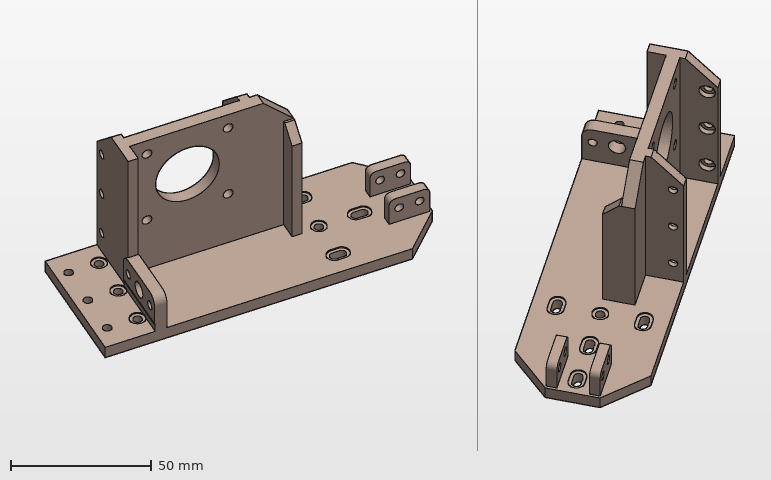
import cadquery as cq


BASE_WIDTH = 50.0
BASE_LENGTH = 136.0
BASE_THICKNESS = 5.0
BASE_CORNER_CUT = 15.0

SCREW_DIAMETER = 3.4
HEAD_DIAMETER = 6.0
BASE_HEAD_DEPTH = 0.5
SLOT_TRAVEL = 3.0
HOLE_SPACING_X = 16.0
FRONT_ROW_Y = 5.0
HEAD_ROW_Y = 17.0
REAR_ROW_Y = 96.0
REAR_SLOT_YS = (112.0, 128.9)

TOTAL_HEIGHT = 67.0
WALL_THICKNESS = 5.0
WALL_RIGHT = -6.0
WALL_LEFT = WALL_RIGHT - WALL_THICKNESS
WALL_REAR = 89.0
UPRIGHT_CORNER_CUT = 12.0
RIB_THICKNESS = 4.0
RIB_GAP = 45.5
FRONT_RIB_Y = 20.4
REAR_RIB_Y = FRONT_RIB_Y + RIB_THICKNESS + RIB_GAP
STIFFENER_RIGHT = 1.02
RIB_HOLE_INSET = 4.0
RIB_HOLE_LOWEST_Z = 13.9
RIB_HOLE_PITCH = 19.0
RIB_HOLE_COUNT = 3
RIB_HEAD_DEPTH = 2.0

FLANGE_HEIGHT = TOTAL_HEIGHT - UPRIGHT_CORNER_CUT
FLANGE_CORNER_CUT = 6.1

MOTOR_Y = FRONT_RIB_Y + RIB_THICKNESS + RIB_GAP / 2
MOTOR_Z = 44.6
MOTOR_BORE = 25.0
MOTOR_HOLE_DIAMETER = 3.8
MOTOR_HOLE_PITCH = 32.0

FRONT_LUG_WIDTH = 26.0
FRONT_LUG_HEIGHT = 15.9
FRONT_LUG_RADIUS = 4.0
FRONT_LUG_PROUD = 1.0
FRONT_LUG_FOOT_PROUD = 0.7
FRONT_LUG_FOOT_HEIGHT = 3.3
FRONT_LUG_HOLE_HEIGHT = 9.4
FRONT_LUG_BORE = 6.4
FRONT_LUG_HOLE_OFFSET = 9.0

REAR_LUG_THICKNESS = 4.0
REAR_LUG_GAP = 12.0
REAR_LUG_LENGTH = 16.0
REAR_LUG_HEIGHT = 11.4
REAR_LUG_RADIUS = 2.5
REAR_LUG_SETBACK = 1.0
REAR_LUG_HOLE_HEIGHT = 6.5
REAR_LUG_HOLE_PITCH = 8.0


def box(x_range, y_range, z_range):
    """Box given by its lower and upper limits along each axis."""
    spans = (x_range, y_range, z_range)
    size = [upper - lower for lower, upper in spans]
    corner = tuple(lower for lower, _ in spans)
    return cq.Workplane("XY").box(*size, centered=False).translate(corner)


def rod_x(diameter, x_range, y, z):
    """Cylinder along X."""
    start, end = x_range
    return cq.Workplane("YZ", origin=(start, y, z)).circle(diameter / 2).extrude(end - start)


def rod_y(diameter, y_range, x, z):
    """Cylinder along Y."""
    start, end = y_range
    return cq.Workplane("XZ", origin=(x, start, z)).circle(diameter / 2).extrude(start - end)


def base_cutter(diameter, x, y, floor_z, travel=0):
    """Round or slotted cutter from floor_z up to the top of the base."""
    sketch = cq.Workplane("XY", origin=(x, y, floor_z))
    if travel:
        sketch = sketch.slot2D(diameter + travel, diameter, 90)
    else:
        sketch = sketch.circle(diameter / 2)
    return sketch.extrude(BASE_THICKNESS - floor_z)


def headed_hole(x, y, travel=0):
    """Through hole in the base with a shallow recess for the screw head."""
    through = base_cutter(SCREW_DIAMETER, x, y, 0, travel)
    head = base_cutter(HEAD_DIAMETER, x, y, BASE_THICKNESS - BASE_HEAD_DEPTH, travel)
    return through.union(head)


def make_base():
    half_width = BASE_WIDTH / 2
    base = box((-half_width, half_width), (0, BASE_LENGTH), (0, BASE_THICKNESS))
    base = base.edges("|Z and >Y").chamfer(BASE_CORNER_CUT)
    for x in (-HOLE_SPACING_X, 0, HOLE_SPACING_X):
        base = base.cut(base_cutter(SCREW_DIAMETER, x, FRONT_ROW_Y, 0))
        base = base.cut(headed_hole(x, HEAD_ROW_Y))
    base = base.cut(headed_hole(0, REAR_ROW_Y))
    for x in (-HOLE_SPACING_X, HOLE_SPACING_X):
        base = base.cut(headed_hole(x, REAR_ROW_Y, SLOT_TRAVEL))
    for y in REAR_SLOT_YS:
        base = base.cut(headed_hole(0, y, SLOT_TRAVEL))
    return base


def make_wall():
    """Motor wall with its rear stiffening flange."""
    wall_x = (WALL_LEFT, WALL_RIGHT)
    wall = box(wall_x, (FRONT_RIB_Y, WALL_REAR), (BASE_THICKNESS, TOTAL_HEIGHT))
    wall = wall.edges("|X and >Y and >Z").chamfer(UPRIGHT_CORNER_CUT)
    flange = box(
        (WALL_RIGHT, STIFFENER_RIGHT),
        (WALL_REAR - RIB_THICKNESS, WALL_REAR),
        (BASE_THICKNESS, FLANGE_HEIGHT),
    )
    flange = flange.edges("|Y and >X and >Z").chamfer(FLANGE_CORNER_CUT)
    wall = wall.cut(rod_x(MOTOR_BORE, wall_x, MOTOR_Y, MOTOR_Z))
    half_pitch = MOTOR_HOLE_PITCH / 2
    for y in (MOTOR_Y - half_pitch, MOTOR_Y + half_pitch):
        for z in (MOTOR_Z - half_pitch, MOTOR_Z + half_pitch):
            wall = wall.cut(rod_x(MOTOR_HOLE_DIAMETER, wall_x, y, z))
    return wall.union(flange)


def make_rib(front_y, right_x, head_y_range):
    """Rib with a column of screw holes whose head recesses span head_y_range."""
    left_x = -BASE_WIDTH / 2
    y_range = (front_y, front_y + RIB_THICKNESS)
    rib = box((left_x, right_x), y_range, (BASE_THICKNESS, TOTAL_HEIGHT))
    rib = rib.edges("|Y and <X and >Z").chamfer(UPRIGHT_CORNER_CUT)
    hole_x = left_x + RIB_HOLE_INSET
    for index in range(RIB_HOLE_COUNT):
        hole_z = RIB_HOLE_LOWEST_Z + index * RIB_HOLE_PITCH
        rib = rib.cut(rod_y(SCREW_DIAMETER, y_range, hole_x, hole_z))
        rib = rib.cut(rod_y(HEAD_DIAMETER, head_y_range, hole_x, hole_z))
    return rib


def make_front_lug():
    right_x = BASE_WIDTH / 2
    x_range = (right_x - FRONT_LUG_WIDTH, right_x)
    y_range = (FRONT_RIB_Y - FRONT_LUG_PROUD, FRONT_RIB_Y + RIB_THICKNESS)
    lug = box(x_range, y_range, (BASE_THICKNESS, BASE_THICKNESS + FRONT_LUG_HEIGHT))
    lug = lug.edges("|Y and >Z").fillet(FRONT_LUG_RADIUS)
    foot_y = (y_range[0], FRONT_RIB_Y - FRONT_LUG_FOOT_PROUD)
    foot_z = (BASE_THICKNESS, BASE_THICKNESS + FRONT_LUG_FOOT_HEIGHT)
    return lug.cut(box(x_range, foot_y, foot_z))


def front_lug_holes():
    """Centre bore and two screw holes, through the lug and the rib end behind it."""
    y_range = (FRONT_RIB_Y - FRONT_LUG_PROUD, FRONT_RIB_Y + RIB_THICKNESS)
    centre_x = (BASE_WIDTH - FRONT_LUG_WIDTH) / 2
    z = BASE_THICKNESS + FRONT_LUG_HOLE_HEIGHT
    holes = rod_y(FRONT_LUG_BORE, y_range, centre_x, z)
    for side in (-1, 1):
        x = centre_x + side * FRONT_LUG_HOLE_OFFSET
        holes = holes.union(rod_y(SCREW_DIAMETER, y_range, x, z))
    return holes


def make_rear_lug(left_x):
    x_range = (left_x, left_x + REAR_LUG_THICKNESS)
    rear_y = BASE_LENGTH - REAR_LUG_SETBACK
    centre_y = rear_y - REAR_LUG_LENGTH / 2
    top_z = BASE_THICKNESS + REAR_LUG_HEIGHT
    lug = box(x_range, (rear_y - REAR_LUG_LENGTH, rear_y), (BASE_THICKNESS, top_z))
    lug = lug.edges("|X and >Z").fillet(REAR_LUG_RADIUS)
    for side in (-1, 1):
        y = centre_y + side * REAR_LUG_HOLE_PITCH / 2
        lug = lug.cut(rod_x(SCREW_DIAMETER, x_range, y, BASE_THICKNESS + REAR_LUG_HOLE_HEIGHT))
    return lug


front_rib_inner_y = FRONT_RIB_Y + RIB_THICKNESS
front_rib = make_rib(FRONT_RIB_Y, STIFFENER_RIGHT, (front_rib_inner_y - RIB_HEAD_DEPTH, front_rib_inner_y))
rear_rib = make_rib(REAR_RIB_Y, WALL_RIGHT, (REAR_RIB_Y, REAR_RIB_Y + RIB_HEAD_DEPTH))

result = make_base().union(make_wall()).union(front_rib).union(rear_rib)
result = result.union(make_front_lug()).cut(front_lug_holes())
for lug_left_x in (-REAR_LUG_GAP / 2 - REAR_LUG_THICKNESS, REAR_LUG_GAP / 2):
    result = result.union(make_rear_lug(lug_left_x))